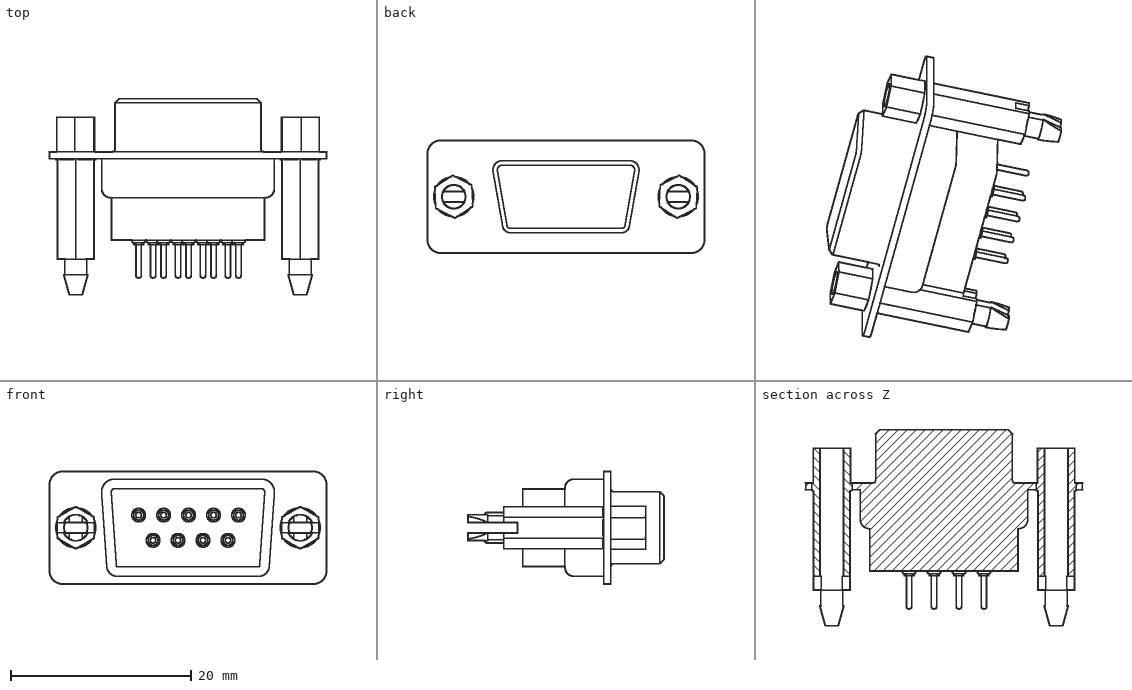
import cadquery as cq
import math


FLANGE_LENGTH = 30.8
FLANGE_HEIGHT = 12.55
FLANGE_THICKNESS = 0.8
FLANGE_CORNER_RADIUS = 1.5

CUP_TOP_WIDTH = 19.4
CUP_HEIGHT = 10.8
CUP_SIDE_ANGLE = 4.0
CUP_TOP_RADIUS = 1.45
CUP_BOTTOM_RADIUS = 1.2
CUP_FRONT = 4.3
CUP_EDGE_RADIUS = 1.02

BLOCK_INSET = 1.08
BLOCK_FRONT = 9.0

SHELL_TOP_WIDTH = 16.65
SHELL_HEIGHT = 8.0
SHELL_SIDE_ANGLE = 10.0
SHELL_TOP_RADIUS = 1.05
SHELL_BOTTOM_RADIUS = 0.85
SHELL_REAR = 6.72
SHELL_END_CHAMFER = 0.5
SHELL_ROOT_RADIUS = 0.3

PIN_PITCH = 2.77
PIN_ROW_SPACING = 2.8
TOP_ROW_COUNT = 5
TOP_ROW_CENTER_X = 0.05
BOTTOM_ROW_COUNT = 4
BOTTOM_ROW_CENTER_X = 0.28
PIN_DIAMETER = 0.62
PIN_LENGTH = 4.22
PIN_TIP_RADIUS = 0.28
PIN_HUB_DIAMETER = 1.1
PIN_HUB_LENGTH = 0.52
PIN_COLLAR_DIAMETER = 1.5
PIN_COLLAR_LENGTH = 0.35
PIN_COLLAR_RADIUS = 0.28

HEX_SIDES = 6
STANDOFF_SPACING = 24.93
FRONT_HEX_ACROSS_FLATS = 4.07
FRONT_HEX_END = 11.12
REAR_HEX_ACROSS_FLATS = 4.13
REAR_HEX_END = 4.65
REAR_HEX_TURN = 3.0
NECK_DIAMETER = 4.45
NECK_FRONT = 0.1
BORE_DIAMETER = 2.6
STEM_DIAMETER = 2.7
BARB_START = 12.88
BARB_END = 15.1
BARB_DIAMETER = 2.9
BARB_START_WIDTH = 2.68
BARB_END_WIDTH = 1.45
SLOT_WIDTH = 1.15
SLOT_START = 9.58


def facing_front(y):
    """Workplane at Y = y whose extrusions run toward -Y, with local axes X and Z."""
    return cq.Workplane("XZ", origin=(0, y, 0))


def d_prism(start_y, depth, top_width, height, side_angle, top_radius, bottom_radius, inset=0.0):
    """D-shaped prism toward -Y, narrower at the bottom, its outline moved inward by inset."""
    slope = math.radians(side_angle)
    side_shift = inset / math.cos(slope)
    half_height = height / 2 - inset
    half_top = top_width / 2 - inset * math.tan(slope) - side_shift
    half_bottom = half_top - 2 * half_height * math.tan(slope)
    outline = [
        (-half_top, half_height),
        (half_top, half_height),
        (half_bottom, -half_height),
        (-half_bottom, -half_height),
    ]
    prism = facing_front(start_y).polyline(outline).close().extrude(depth)
    prism = prism.edges("|Y and >Z").fillet(top_radius - inset)
    return prism.edges("|Y and <Z").fillet(bottom_radius - inset)


def make_flange():
    flange = facing_front(FLANGE_THICKNESS).rect(FLANGE_LENGTH, FLANGE_HEIGHT).extrude(FLANGE_THICKNESS)
    return flange.edges("|Y").fillet(FLANGE_CORNER_RADIUS)


def make_cup():
    cup = d_prism(
        0, CUP_FRONT, CUP_TOP_WIDTH, CUP_HEIGHT, CUP_SIDE_ANGLE, CUP_TOP_RADIUS, CUP_BOTTOM_RADIUS
    )
    return cup.faces("<Y").edges().fillet(CUP_EDGE_RADIUS)


def make_block():
    return d_prism(
        0, BLOCK_FRONT, CUP_TOP_WIDTH, CUP_HEIGHT, CUP_SIDE_ANGLE, CUP_TOP_RADIUS, CUP_BOTTOM_RADIUS,
        inset=BLOCK_INSET,
    )


def make_shell():
    shell = d_prism(
        SHELL_REAR, SHELL_REAR - FLANGE_THICKNESS, SHELL_TOP_WIDTH, SHELL_HEIGHT,
        SHELL_SIDE_ANGLE, SHELL_TOP_RADIUS, SHELL_BOTTOM_RADIUS,
    )
    return shell.faces(">Y").edges().chamfer(SHELL_END_CHAMFER)


def make_pin(x, z):
    """Solder pin standing on the block face: rounded collar, hub and round-tipped pin."""
    foot = cq.Workplane("XZ", origin=(x, -BLOCK_FRONT, z))
    pin = foot.circle(PIN_DIAMETER / 2).extrude(PIN_LENGTH)
    pin = pin.faces("<Y").edges().fillet(PIN_TIP_RADIUS)
    hub = foot.circle(PIN_HUB_DIAMETER / 2).extrude(PIN_HUB_LENGTH)
    collar = foot.circle(PIN_COLLAR_DIAMETER / 2).extrude(PIN_COLLAR_LENGTH)
    collar = collar.faces("<Y").edges().fillet(PIN_COLLAR_RADIUS)
    return pin.union(hub).union(collar)


def make_pin_row(count, center_x, z):
    row = cq.Workplane()
    first_x = center_x - (count - 1) * PIN_PITCH / 2
    for index in range(count):
        row = row.add(make_pin(first_x + index * PIN_PITCH, z))
    return row


def make_connector():
    """Flange, shells, insulator and pins as one body with a hole for each standoff neck."""
    connector = make_flange().union(make_shell())
    flange_rear = connector.faces(">Y[-2]").val()
    connector = connector.newObject(flange_rear.innerWires()[0].Edges()).fillet(SHELL_ROOT_RADIUS)
    connector = connector.union(make_cup()).union(make_block())
    top_row = make_pin_row(TOP_ROW_COUNT, TOP_ROW_CENTER_X, PIN_ROW_SPACING / 2)
    bottom_row = make_pin_row(BOTTOM_ROW_COUNT, BOTTOM_ROW_CENTER_X, -PIN_ROW_SPACING / 2)
    for pin in top_row.vals() + bottom_row.vals():
        connector = connector.union(cq.Workplane(pin))
    neck_holes = (
        facing_front(FLANGE_THICKNESS)
        .pushPoints([(-STANDOFF_SPACING / 2, 0), (STANDOFF_SPACING / 2, 0)])
        .circle(NECK_DIAMETER / 2)
        .extrude(FLANGE_THICKNESS)
    )
    return connector.cut(neck_holes)


def hex_prism(start_y, length, across_flats, turn=0.0):
    """Hexagonal prism toward -Y with a corner on top, turned about its axis by turn degrees."""
    half_side_angle = 180 / HEX_SIDES
    across_corners = across_flats / math.cos(math.radians(half_side_angle))
    prism = facing_front(start_y).polygon(HEX_SIDES, across_corners).extrude(length)
    return prism.rotate((0, 0, 0), (0, 1, 0), half_side_angle + turn)


def make_barb():
    """Barb at the tip: a cylinder with two flats that taper it in X."""
    length = BARB_END - BARB_START
    cylinder = facing_front(-BARB_START).circle(BARB_DIAMETER / 2).extrude(length)
    taper = (
        cq.Workplane("XY")
        .polyline([
            (-BARB_START_WIDTH / 2, -BARB_START),
            (BARB_START_WIDTH / 2, -BARB_START),
            (BARB_END_WIDTH / 2, -BARB_END),
            (-BARB_END_WIDTH / 2, -BARB_END),
        ])
        .close()
        .extrude(BARB_DIAMETER, both=True)
    )
    return cylinder.intersect(taper)


def make_standoff(side):
    """Standoff at the -X (side = -1) or +X (side = 1) end, its neck filling the flange hole."""
    front_hex = hex_prism(0, FRONT_HEX_END, FRONT_HEX_ACROSS_FLATS)
    rear_length = REAR_HEX_END - FLANGE_THICKNESS
    rear_hex = hex_prism(REAR_HEX_END, rear_length, REAR_HEX_ACROSS_FLATS, side * REAR_HEX_TURN)
    neck = facing_front(FLANGE_THICKNESS).circle(NECK_DIAMETER / 2).extrude(FLANGE_THICKNESS + NECK_FRONT)
    stem = facing_front(-FRONT_HEX_END).circle(STEM_DIAMETER / 2).extrude(BARB_START - FRONT_HEX_END)
    standoff = front_hex.union(neck).union(rear_hex)
    bore = facing_front(REAR_HEX_END).circle(BORE_DIAMETER / 2).extrude(REAR_HEX_END + FRONT_HEX_END)
    slot = facing_front(-SLOT_START).rect(2 * NECK_DIAMETER, SLOT_WIDTH).extrude(BARB_END - SLOT_START)
    standoff = standoff.cut(bore).union(stem).union(make_barb()).cut(slot)
    return standoff.translate((side * STANDOFF_SPACING / 2, 0, 0))


connector = make_connector()
standoffs = [make_standoff(side) for side in (-1, 1)]

result = cq.Compound.makeCompound(
    [connector.val()] + [standoff.val() for standoff in standoffs]
)